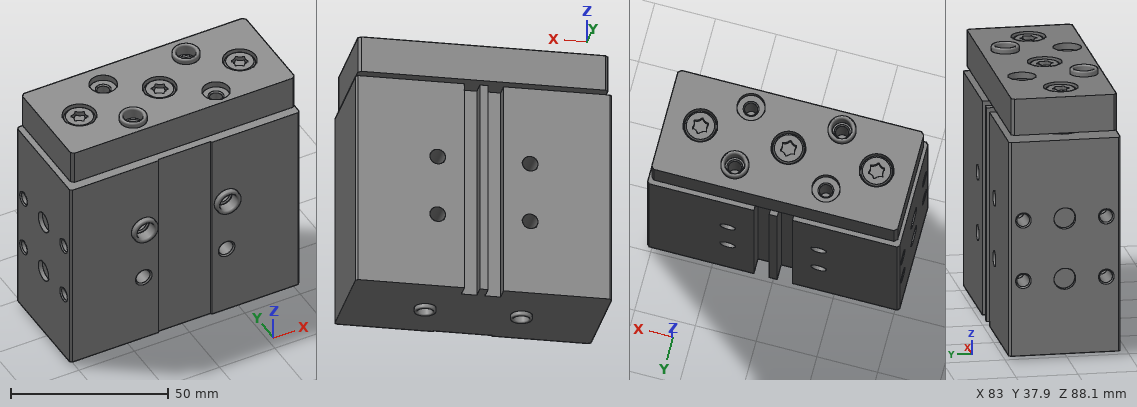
import cadquery as cq
import math

housing_width = 83.0
housing_height = 70.8
housing_back = 18.9
housing_front = -17.1
housing_chamfer = 0.7

groove_width = 18.85
groove_flare = 0.2
groove_depth = 0.5

slot_width = 5.0
slot_depth = 5.0
slot_rib = 2.6

plate_width = 81.0
plate_depth = 34.0
plate_thickness = 12.0
plate_gap = 2.0
plate_chamfer = 1.0

guide_rod_diameter = 12.0
guide_rod_offset = 29.0
piston_rod_diameter = 9.0
rod_insertion = 50.0

head_pocket_diameter = 11.0
head_pocket_depth = 4.0
head_diameter = 10.0
head_chamfer = 0.5
head_recess = 0.5
star_points = 6
star_diameter = 6.0
star_root_diameter = 4.1
star_tip_rounding = 0.3
star_depth = 1.5

hole_pitch = 20.0
column_offset = 15.0
upper_row_drop = 26.0
side_hole_offset = 13.4

plate_thread_diameter = 4.1
plate_thread_mouth = 5.0
front_thread_diameter = 5.0
front_thread_mouth = 6.0
side_thread_diameter = 4.1
side_thread_mouth = 5.0
side_thread_depth = 10.0
drill_tip_angle = 118

sleeve_diameter = 9.0
sleeve_bore = 6.3
sleeve_seat_depth = 2.1
plate_sleeve_protrusion = 1.8
front_sleeve_protrusion = 1.85

small_sleeve_diameter = 7.0
small_sleeve_bore = 5.2
small_sleeve_seat_depth = 1.5
small_sleeve_protrusion = 1.5
small_sleeve_offset = 15.6

block_middle = (housing_back + housing_front) / 2
housing_depth = housing_back - housing_front
plate_bottom = housing_height + plate_gap
plate_top = plate_bottom + plate_thickness
upper_row = housing_height - upper_row_drop
lower_row = upper_row - hole_pitch
rods = [
    (-guide_rod_offset, guide_rod_diameter),
    (0, piston_rod_diameter),
    (guide_rod_offset, guide_rod_diameter),
]
left_side = -housing_width / 2
front_columns = (-column_offset, column_offset)
underside_columns = (-small_sleeve_offset, small_sleeve_offset)
plate_hole_row = hole_pitch / 2
plate_sleeve_points = [(-column_offset, -plate_hole_row), (column_offset, plate_hole_row)]
plate_open_points = [(-column_offset, plate_hole_row), (column_offset, -plate_hole_row)]
UP = cq.Vector(0, 0, 1)
DOWN = cq.Vector(0, 0, -1)
FORWARD = cq.Vector(0, -1, 0)
BACKWARD = cq.Vector(0, 1, 0)
INTO_SIDE = cq.Vector(1, 0, 0)


def cylinder(diameter, length, start, direction):
    """Solid cylinder that runs from start along direction."""
    return cq.Solid.makeCylinder(diameter / 2, length, cq.Vector(*start), direction)


def chamfered_mouth(mouth_diameter, hole_diameter, start, direction):
    """45 degree cone that opens the mouth of a hole."""
    depth = (mouth_diameter - hole_diameter) / 2
    return cq.Solid.makeCone(mouth_diameter / 2, hole_diameter / 2, depth, cq.Vector(*start), direction)


def upright_block(width, depth, height, middle_y, bottom_z, chamfer):
    """Box with its four upright edges chamfered."""
    block = cq.Workplane("XY").box(width, depth, height, centered=(True, True, False))
    return block.edges("|Z").chamfer(chamfer).translate((0, middle_y, bottom_z))


def cut_front_groove(body):
    """Groove with a flat floor and flaring walls."""
    floor_half = groove_width / 2
    mouth_half = floor_half + groove_flare
    floor = housing_front + groove_depth
    outline = [
        (-mouth_half, housing_front),
        (-floor_half, floor),
        (floor_half, floor),
        (mouth_half, housing_front),
    ]
    return body.cut(cq.Workplane("XY").polyline(outline).close().extrude(housing_height))


def cut_sensor_slots(body):
    slot_offset = (slot_rib + slot_width) / 2
    for side in (-1, 1):
        slot = cq.Workplane("XY").box(slot_width, slot_depth, housing_height, centered=(True, False, False))
        body = body.cut(slot.translate((side * slot_offset, housing_back - slot_depth, 0)))
    return body


def cut_front_holes(body):
    """Threaded through holes; the upper pair also has sleeve seats."""
    for x in front_columns:
        for z in (upper_row, lower_row):
            body = body.cut(cylinder(front_thread_diameter, housing_depth, (x, housing_front, z), BACKWARD))
        seat_floor = housing_front + sleeve_seat_depth
        body = body.cut(cylinder(sleeve_diameter, sleeve_seat_depth, (x, housing_front, upper_row), BACKWARD))
        for y, z in ((seat_floor, upper_row), (housing_front, lower_row)):
            body = body.cut(chamfered_mouth(front_thread_mouth, front_thread_diameter, (x, y, z), BACKWARD))
    return body


def cut_side_holes(body):
    """Blind threaded holes with drill tips, and open sleeve seats between them."""
    radius = side_thread_diameter / 2
    tip_length = radius / math.tan(math.radians(drill_tip_angle / 2))
    for z in (upper_row, lower_row):
        for y in (block_middle - side_hole_offset, block_middle + side_hole_offset):
            mouth = (left_side, y, z)
            tip_start = cq.Vector(left_side + side_thread_depth, y, z)
            body = body.cut(cylinder(side_thread_diameter, side_thread_depth, mouth, INTO_SIDE))
            body = body.cut(cq.Solid.makeCone(radius, 0, tip_length, tip_start, INTO_SIDE))
            body = body.cut(chamfered_mouth(side_thread_mouth, side_thread_diameter, mouth, INTO_SIDE))
        seat = (left_side, block_middle, z)
        body = body.cut(cylinder(small_sleeve_diameter, small_sleeve_seat_depth, seat, INTO_SIDE))
    return body


def cut_underside_seats(body):
    for x in underside_columns:
        body = body.cut(cylinder(small_sleeve_diameter, small_sleeve_seat_depth, (x, block_middle, 0), UP))
    return body


def cut_rod_bores(body):
    for x, diameter in rods:
        body = body.cut(cylinder(diameter, rod_insertion, (x, 0, housing_height), DOWN))
    return body


def make_housing():
    body = upright_block(housing_width, housing_depth, housing_height, block_middle, 0, housing_chamfer)
    body = cut_front_groove(body)
    body = cut_sensor_slots(body)
    body = cut_front_holes(body)
    body = cut_side_holes(body)
    body = cut_underside_seats(body)
    return cut_rod_bores(body)


def add_rods(plate):
    length = rod_insertion + plate_gap
    for x, diameter in rods:
        plate = plate.union(cq.Workplane(cylinder(diameter, length, (x, 0, plate_bottom), DOWN)))
    return plate


def star_socket(x, top_z):
    """Six-pointed star socket with hollow flanks and rounded tips, one tip toward +Y."""
    first_point = 90
    spacing = 360 / star_points
    tip_radius = star_diameter / 2

    def corner(radius, degrees):
        angle = math.radians(degrees)
        return (x + radius * math.cos(angle), radius * math.sin(angle))

    outline = cq.Workplane("XY", origin=(0, 0, top_z)).moveTo(*corner(tip_radius, first_point))
    for index in range(star_points):
        start = first_point + index * spacing
        root = corner(star_root_diameter / 2, start + spacing / 2)
        outline = outline.threePointArc(root, corner(tip_radius, start + spacing))
    return outline.close().extrude(-star_depth).edges("|Z").fillet(star_tip_rounding)


def add_screw_heads(plate):
    """Chamfered heads with star sockets, each standing in a wider round pocket."""
    head_top = plate_top - head_recess
    head_height = head_pocket_depth - head_recess
    for x, _ in rods:
        plate = plate.cut(cylinder(head_pocket_diameter, head_pocket_depth, (x, 0, plate_top), DOWN))
        head = cq.Workplane(cylinder(head_diameter, head_height, (x, 0, head_top), DOWN))
        head = head.faces(">Z").chamfer(head_chamfer).cut(star_socket(x, head_top))
        plate = plate.union(head)
    return plate


def cut_plate_holes(plate):
    """Sleeve seats with threaded through holes in their floors."""
    seat_floor = plate_top - sleeve_seat_depth
    for x, y in plate_sleeve_points + plate_open_points:
        plate = plate.cut(cylinder(sleeve_diameter, sleeve_seat_depth, (x, y, plate_top), DOWN))
        plate = plate.cut(cylinder(plate_thread_diameter, plate_thickness, (x, y, plate_top), DOWN))
        plate = plate.cut(chamfered_mouth(plate_thread_mouth, plate_thread_diameter, (x, y, seat_floor), DOWN))
    return plate


def make_plate_with_rods():
    plate = upright_block(plate_width, plate_depth, plate_thickness, block_middle, plate_bottom, plate_chamfer)
    plate = add_screw_heads(plate)
    plate = cut_plate_holes(plate)
    return add_rods(plate)


def make_sleeve(diameter, bore, seat_depth, protrusion, mouth, direction):
    """Ring that stands out of its seat along direction, with a fully rounded free end."""
    outer = diameter / 2
    inner = bore / 2
    shoulder = protrusion - (outer - inner) / 2
    section = (
        cq.Workplane("XZ")
        .moveTo(inner, -seat_depth)
        .lineTo(outer, -seat_depth)
        .lineTo(outer, shoulder)
        .threePointArc(((inner + outer) / 2, protrusion), (inner, shoulder))
        .close()
    )
    ring = section.revolve(axisStart=(0, 0, 0), axisEnd=(0, 1, 0)).val()
    return ring.moved(cq.Plane(origin=mouth, normal=direction.toTuple()).location)


def make_plate_sleeve(x, y):
    mouth = (x, y, plate_top)
    return make_sleeve(sleeve_diameter, sleeve_bore, sleeve_seat_depth, plate_sleeve_protrusion, mouth, UP)


def make_front_sleeve(x):
    mouth = (x, housing_front, upper_row)
    return make_sleeve(
        sleeve_diameter, sleeve_bore, sleeve_seat_depth, front_sleeve_protrusion, mouth, FORWARD
    )


def make_underside_sleeve(x):
    mouth = (x, block_middle, 0)
    return make_sleeve(
        small_sleeve_diameter,
        small_sleeve_bore,
        small_sleeve_seat_depth,
        small_sleeve_protrusion,
        mouth,
        DOWN,
    )


housing = make_housing()
plate_with_rods = make_plate_with_rods()
plate_sleeves = [make_plate_sleeve(x, y) for x, y in plate_sleeve_points]
front_sleeves = [make_front_sleeve(x) for x in front_columns]
underside_sleeves = [make_underside_sleeve(x) for x in underside_columns]

result = cq.Compound.makeCompound(
    [housing.val(), plate_with_rods.val(), *plate_sleeves, *front_sleeves, *underside_sleeves]
)